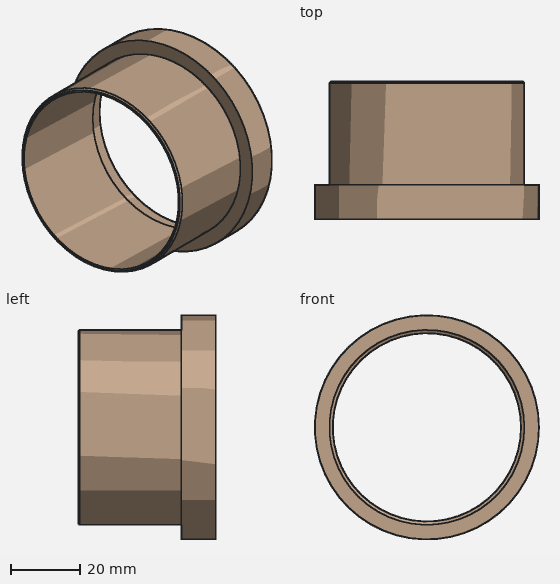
import cadquery as cq

flange_diameter = 65.0
flange_length = 10.0
total_length = 40.0
sleeve_diameter = 56.55
bore_diameter = 54.5
recess_diameter = 56.5
recess_depth = flange_length / 2
rim_chamfer = 0.5

rear_y = total_length / 2
front_y = -rear_y
recess_floor_y = front_y + recess_depth
recess_round = (recess_diameter - bore_diameter) / 2


def disc(diameter, start_y, length):
    """Cylinder on the Y axis, running from start_y toward +Y."""
    plane = cq.Workplane("XZ", origin=(0, start_y, 0))
    return plane.circle(diameter / 2).extrude(-length)


sleeve = disc(sleeve_diameter, front_y, total_length).faces(">Y").edges().chamfer(rim_chamfer)
flange = disc(flange_diameter, front_y, flange_length)

bore = disc(bore_diameter, front_y, total_length)
recess = (
    cq.Workplane("XY")
    .moveTo(0, front_y)
    .lineTo(recess_diameter / 2, front_y)
    .lineTo(recess_diameter / 2, recess_floor_y - recess_round)
    .radiusArc((bore_diameter / 2, recess_floor_y), -recess_round)
    .lineTo(0, recess_floor_y)
    .close()
    .revolve(360, (0, 0, 0), (0, 1, 0))
)

result = flange.union(sleeve).cut(bore).cut(recess)